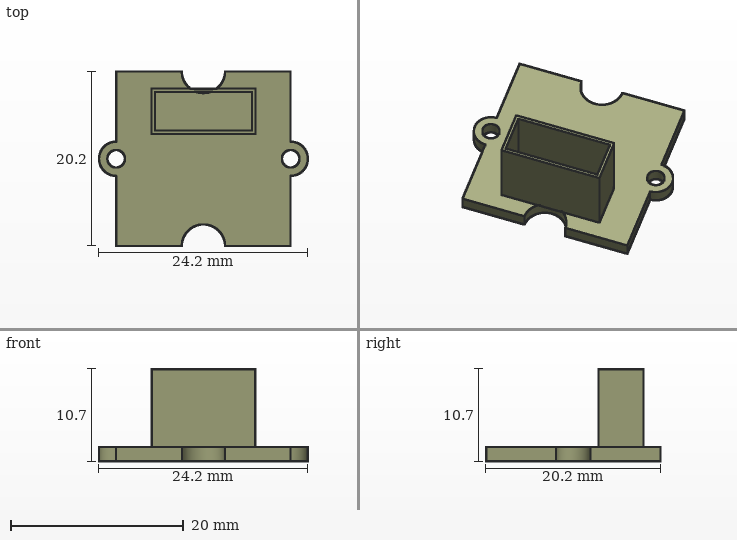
import cadquery as cq

plate_side = 20.2
plate_thickness = 1.7

overall_length = 24.2
ear_radius = (overall_length - plate_side) / 2
ear_hole_diameter = 2.0

notch_radius = 2.5

overall_height = 10.7
housing_length = 12.0
housing_width = 5.23
housing_wall = 0.39
housing_back_inset = 1.98
housing_height = overall_height - plate_thickness
housing_center_y = plate_side / 2 - housing_back_inset - housing_width / 2

ear_centers = [(-plate_side / 2, 0), (plate_side / 2, 0)]
notch_centers = [(0, -plate_side / 2), (0, plate_side / 2)]


def plate_cylinders(centers, radius):
    """Discs as thick as the plate at the given centres."""
    return cq.Workplane("XY").pushPoints(centers).circle(radius).extrude(plate_thickness)


def make_plate():
    """Square plate with two drilled ears and two edge notches."""
    square = cq.Workplane("XY").rect(plate_side, plate_side).extrude(plate_thickness)
    with_ears = square.union(plate_cylinders(ear_centers, ear_radius))
    drilled = with_ears.cut(plate_cylinders(ear_centers, ear_hole_diameter / 2))
    return drilled.cut(plate_cylinders(notch_centers, notch_radius))


def make_housing():
    """Rectangular wall, with the plate top as its floor; it overhangs the back notch."""
    return (
        cq.Workplane("XY", origin=(0, housing_center_y, plate_thickness))
        .rect(housing_length, housing_width)
        .rect(housing_length - 2 * housing_wall, housing_width - 2 * housing_wall)
        .extrude(housing_height)
    )


result = make_plate().union(make_housing())